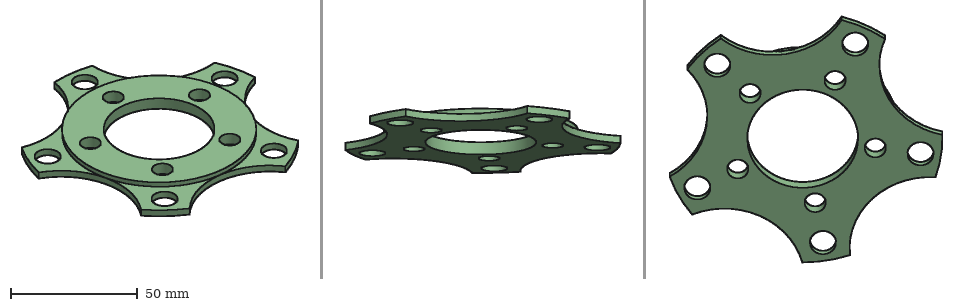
import cadquery as cq
import math

overall_width = 109.2
arm_count = 5
arm_pitch = 360.0 / arm_count
first_arm_angle = 90.0
tip_half_angle = 10.0
plate_thickness = 3.0
total_thickness = 5.0
boss_diameter = 76.7
bore_diameter = 43.7
scallop_depth_radius = boss_diameter / 2
outer_hole_diameter = 10.3
outer_hole_circle_radius = 47.0
inner_hole_diameter = 8.3
inner_hole_circle_radius = 29.0

widest_corner_angle = first_arm_angle - arm_pitch - tip_half_angle
tip_radius = overall_width / 2 / math.cos(math.radians(widest_corner_angle))


def polar(radius, angle):
    """Point at a radius and an angle in degrees about the part axis."""
    radians = math.radians(angle)
    return (radius * math.cos(radians), radius * math.sin(radians))


def spider_plate():
    """Five-armed plate with rounded tips and concave arcs between the arms."""
    outline = cq.Workplane("XY").moveTo(*polar(tip_radius, first_arm_angle - tip_half_angle))
    for arm in range(arm_count):
        angle = first_arm_angle + arm * arm_pitch
        outline = outline.threePointArc(
            polar(tip_radius, angle), polar(tip_radius, angle + tip_half_angle)
        )
        outline = outline.threePointArc(
            polar(scallop_depth_radius, angle + arm_pitch / 2),
            polar(tip_radius, angle + arm_pitch - tip_half_angle),
        )
    return outline.close().extrude(plate_thickness)


def hole_ring(circle_radius, diameter):
    """Cutters for one through hole in line with each arm."""
    return (
        cq.Workplane("XY")
        .polarArray(circle_radius, first_arm_angle, 360, arm_count)
        .circle(diameter / 2)
        .extrude(total_thickness)
    )


boss = cq.Workplane("XY").circle(boss_diameter / 2).extrude(total_thickness)
bore = cq.Workplane("XY").circle(bore_diameter / 2).extrude(total_thickness)

result = (
    spider_plate()
    .union(boss)
    .cut(bore)
    .cut(hole_ring(outer_hole_circle_radius, outer_hole_diameter))
    .cut(hole_ring(inner_hole_circle_radius, inner_hole_diameter))
)